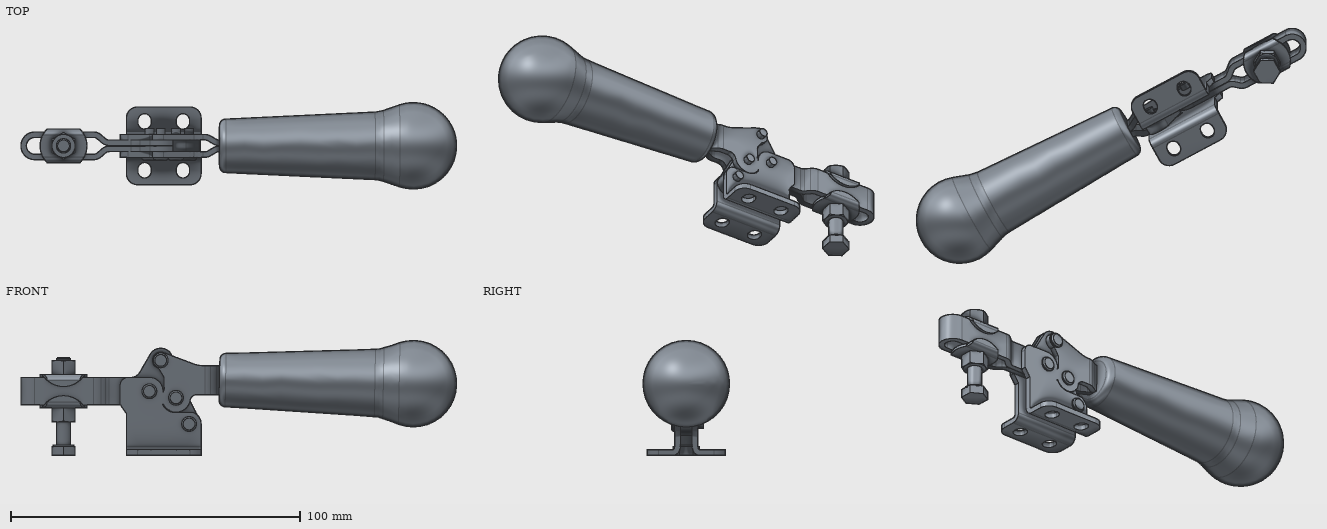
import cadquery as cq
import math

OVERALL_LENGTH = 150.7
OVERALL_HEIGHT = 39.8

SHEET = 2.0
INNER_BEND = SHEET
OUTER_BEND = INNER_BEND + SHEET
HALF_GAP = 0.08
CORE_Y = HALF_GAP + SHEET
SIDE_Y = CORE_Y + SHEET

ARM_PIVOT = (44.5, 22.1)
TOP_PIVOT = (48.4, 32.8)
LEVER_PIVOT = (53.6, 19.9)
REAR_PIVOT = (58.2, 10.8)

BASE_LEFT = 36.5
BASE_LENGTH = 25.9
BASE_RIGHT = BASE_LEFT + BASE_LENGTH
BASE_WIDTH = 27.0
BASE_CORNER = 3.9
FOOT_BEND = 0.9
FOOT_HOLE_X = (42.8, 56.0)
FOOT_HOLE_Y = 8.5
FOOT_HOLE_WIDTH = 4.5
FOOT_HOLE_LENGTH = 5.3
BRACKET_LEFT = 34.4
BRACKET_CORNER = 2.7
BRACKET_NECK_Z = 14.5
BRACKET_RIM = 4.7
REAR_RIM = BASE_RIGHT - REAR_PIVOT[0]

ARM_BOTTOM = 17.5
ARM_TOP = 27.0
ARM_HALF_WIDTH = 4.8
ARM_BEND_X = 25.2
ARM_BEND_ANGLE = 41
ARM_BOSS = 4.2
ARM_RISE_ANGLE = 60
ARM_RISE_FILLET = 3.6

NECK_BOTTOM = 21.0
NECK_TOP = 31.0
NECK_BEND_X = 63.6
NECK_BEND_ANGLE = 30
NECK_END_X = 75.3
LEVER_BOSS = 2.9
LEVER_END = 5.0
LEVER_LEFT = 49.5
LEVER_SHOULDER_Z = 27.0
LEVER_TOP_SLOPE = 20.5
BOSS_UNDERSIDE_ANGLE = -105
SHOULDER_FILLET = 2.3
NECK_FILLET = 2.4
NECK_TOP_FILLET = 9.0
LEVER_CLEARANCE = 0.2
LINK_RADIUS = 3.9

PIN_RADIUS = 1.5
PIN_HEAD_RADIUS = 2.5
PIN_HEAD_HEIGHT = 1.0
PIN_HEAD_CHAMFER = 0.53
PIN_TAIL_Y = 6.0

SPINDLE_X = 14.8
SPINDLE_RADIUS = 5.0 / 2
SPINDLE_TOP = 33.8
SPINDLE_CHAMFER = 0.5
HEX_ACROSS_FLATS = 8.0
SPINDLE_HEAD = 3.0
COLLAR_RADIUS = 3.6
COLLAR_TOP = 3.6
NUT_HEIGHT = 4.8
NUT_CHAMFER = 0.5
WASHER_SHEET = 1.0
WASHER_RADIUS = 8.1
WASHER_WING_DEPTH = 3.2
WASHER_WING_RADIUS = 8.6

BALL_RADIUS = 30.0 / 2
BALL_X = OVERALL_LENGTH - BALL_RADIUS
BALL_Z = OVERALL_HEIGHT - BALL_RADIUS
GRIP_TILT = 1.1
GRIP_LENGTH = 67.0
GRIP_END_RADIUS = 9.2
GRIP_END_ROUND = 2.3
GRIP_CONE_ANGLE = 2.7
BALL_CONE_ANGLE = 19
CONE_BLEND = 10.5


def polar(centre, radius, degrees):
    angle = math.radians(degrees)
    return (centre[0] + radius * math.cos(angle), centre[1] + radius * math.sin(angle))


def both_sides(half):
    return half.union(half.mirror("XZ"))


def plate(outline, y_inner, y_outer):
    """Plate in +Y from an XZ outline drawn on the 'XZ' plane."""
    return outline.extrude(-(y_outer - y_inner)).translate((0, y_inner, 0))


def disc(centre, radius):
    return cq.Workplane("XZ").center(*centre).circle(radius)


def strap(first, first_radius, second, second_radius):
    """XZ outline of two round ends joined by their common tangents."""
    dx = second[0] - first[0]
    dz = second[1] - first[1]
    heading = math.degrees(math.atan2(dz, dx))
    spread = math.degrees(math.acos((first_radius - second_radius) / math.hypot(dx, dz)))
    return (
        cq.Workplane("XZ")
        .moveTo(*polar(first, first_radius, heading + spread))
        .threePointArc(
            polar(first, first_radius, heading + 180),
            polar(first, first_radius, heading - spread),
        )
        .lineTo(*polar(second, second_radius, heading - spread))
        .threePointArc(
            polar(second, second_radius, heading),
            polar(second, second_radius, heading + spread),
        )
        .close()
    )


def jog_end_x(bend_x, drop, angle):
    """X where a leaf that jogs inward by `drop` runs straight again."""
    theta = math.radians(angle)
    radii = INNER_BEND + OUTER_BEND
    straight = (drop - radii * (1 - math.cos(theta))) / math.sin(theta)
    return bend_x + radii * math.sin(theta) + straight * math.cos(theta)


def jogged_leaf(start_x, bend_x, end_x, y_start, angle, bottom, top):
    """Leaf in +Y whose outer face steps from y_start inward to CORE_Y."""
    first = (bend_x, y_start - OUTER_BEND)
    flat_x = jog_end_x(bend_x, y_start - CORE_Y, angle)
    second = (flat_x, CORE_Y + INNER_BEND)
    return (
        cq.Workplane("XY")
        .moveTo(start_x, y_start)
        .lineTo(bend_x, y_start)
        .threePointArc(polar(first, OUTER_BEND, 90 - angle / 2), polar(first, OUTER_BEND, 90 - angle))
        .lineTo(*polar(second, INNER_BEND, 270 - angle))
        .threePointArc(polar(second, INNER_BEND, 270 - angle / 2), (flat_x, CORE_Y))
        .lineTo(end_x, CORE_Y)
        .lineTo(end_x, HALF_GAP)
        .lineTo(flat_x, HALF_GAP)
        .threePointArc(polar(second, OUTER_BEND, 270 - angle / 2), polar(second, OUTER_BEND, 270 - angle))
        .lineTo(*polar(first, INNER_BEND, 90 - angle))
        .threePointArc(polar(first, INNER_BEND, 90 - angle / 2), (bend_x, y_start - SHEET))
        .lineTo(start_x, y_start - SHEET)
        .close()
        .extrude(top - bottom)
        .translate((0, 0, bottom))
    )


def bracket_outline():
    slot_radius = LEVER_END + LEVER_CLEARANCE
    rim_right = ARM_PIVOT[0] + BRACKET_RIM
    slot_entry = -math.degrees(math.acos((rim_right - LEVER_PIVOT[0]) / slot_radius))
    slot_floor = LEVER_PIVOT[1] - slot_radius
    rim_entry = math.degrees(math.asin((slot_floor - REAR_PIVOT[1]) / REAR_RIM))
    return (
        cq.Workplane("XZ")
        .moveTo(BASE_LEFT, 0)
        .lineTo(BASE_LEFT, BRACKET_NECK_Z)
        .lineTo(BRACKET_LEFT, ARM_BOTTOM)
        .lineTo(BRACKET_LEFT, ARM_TOP - BRACKET_CORNER)
        .radiusArc((BRACKET_LEFT + BRACKET_CORNER, ARM_TOP), BRACKET_CORNER)
        .lineTo(ARM_PIVOT[0], ARM_TOP)
        .threePointArc(
            polar((ARM_PIVOT[0], ARM_TOP - BRACKET_RIM), BRACKET_RIM, 45),
            (rim_right, ARM_TOP - BRACKET_RIM),
        )
        .lineTo(*polar(LEVER_PIVOT, slot_radius, slot_entry))
        .threePointArc(
            polar(LEVER_PIVOT, slot_radius, (slot_entry - 90) / 2),
            (LEVER_PIVOT[0], slot_floor),
        )
        .lineTo(*polar(REAR_PIVOT, REAR_RIM, rim_entry))
        .threePointArc(polar(REAR_PIVOT, REAR_RIM, rim_entry / 2), (BASE_RIGHT, REAR_PIVOT[1]))
        .lineTo(BASE_RIGHT, 0)
        .close()
    )


def bracket_half():
    """One side plate with its foot, bent from a single sheet."""
    angle_section = (
        cq.Workplane("YZ")
        .moveTo(CORE_Y, ARM_TOP)
        .lineTo(SIDE_Y, ARM_TOP)
        .lineTo(SIDE_Y, SHEET + FOOT_BEND)
        .radiusArc((SIDE_Y + FOOT_BEND, SHEET), -FOOT_BEND)
        .lineTo(BASE_WIDTH / 2, SHEET)
        .lineTo(BASE_WIDTH / 2, 0)
        .lineTo(SIDE_Y + FOOT_BEND, 0)
        .radiusArc((CORE_Y, SHEET + FOOT_BEND), SHEET + FOOT_BEND)
        .close()
        .extrude(BASE_RIGHT)
    )
    half = angle_section.intersect(plate(bracket_outline(), 0, BASE_WIDTH / 2))
    half = half.edges("|Z and >Y").fillet(BASE_CORNER)
    holes = (
        cq.Workplane("XY")
        .pushPoints([(x, FOOT_HOLE_Y) for x in FOOT_HOLE_X])
        .slot2D(FOOT_HOLE_LENGTH, FOOT_HOLE_WIDTH, 90)
        .extrude(SHEET)
    )
    return half.cut(holes)


def arm():
    """Strip looped round the spindle, closing to two leaves that rise to the top pivot."""
    flat_x = jog_end_x(ARM_BEND_X, ARM_HALF_WIDTH - CORE_Y, ARM_BEND_ANGLE)
    nose = (
        cq.Workplane("XY")
        .center(ARM_HALF_WIDTH, 0)
        .circle(ARM_HALF_WIDTH)
        .circle(ARM_HALF_WIDTH - SHEET)
        .extrude(ARM_TOP - ARM_BOTTOM)
        .translate((0, 0, ARM_BOTTOM))
    )
    nose = nose.intersect(cq.Workplane("XY").box(2 * ARM_HALF_WIDTH, 2 * ARM_HALF_WIDTH, 2 * ARM_TOP))
    side = jogged_leaf(
        ARM_HALF_WIDTH, ARM_BEND_X, flat_x + SHEET, ARM_HALF_WIDTH, ARM_BEND_ANGLE, ARM_BOTTOM, ARM_TOP
    )
    boss_tangent = polar(TOP_PIVOT, ARM_BOSS, 90 + ARM_RISE_ANGLE)
    run = (boss_tangent[1] - ARM_TOP) / math.tan(math.radians(ARM_RISE_ANGLE))
    pivot_end = ARM_PIVOT[1] - ARM_BOTTOM
    web = (
        cq.Workplane("XZ")
        .moveTo(flat_x, ARM_BOTTOM)
        .lineTo(flat_x, ARM_TOP)
        .lineTo(boss_tangent[0] - run, ARM_TOP)
        .lineTo(*boss_tangent)
        .lineTo(*TOP_PIVOT)
        .lineTo(*ARM_PIVOT)
        .lineTo(ARM_PIVOT[0], ARM_BOTTOM)
        .close()
    )
    leaf = plate(web, HALF_GAP, CORE_Y)
    rise_foot = cq.selectors.NearestToPointSelector((boss_tangent[0] - run, CORE_Y / 2, ARM_TOP))
    leaf = leaf.edges(rise_foot).fillet(ARM_RISE_FILLET)
    leaf = leaf.union(plate(strap(ARM_PIVOT, pivot_end, TOP_PIVOT, ARM_BOSS), HALF_GAP, CORE_Y))
    return nose.union(both_sides(side.union(leaf)))


def lever_half():
    slope_start = polar(TOP_PIVOT, LEVER_BOSS, 90 - LEVER_TOP_SLOPE)
    slope_run = (slope_start[1] - NECK_TOP) / math.tan(math.radians(LEVER_TOP_SLOPE))
    edge_angle = math.degrees(math.acos((LEVER_LEFT - LEVER_PIVOT[0]) / LEVER_END))
    corner_angle = math.degrees(math.asin((NECK_BOTTOM - LEVER_PIVOT[1]) / LEVER_END))
    neck_corner = polar(LEVER_PIVOT, LEVER_END, corner_angle)
    outline = (
        cq.Workplane("XZ")
        .moveTo(NECK_BEND_X, NECK_TOP)
        .lineTo(slope_start[0] + slope_run, NECK_TOP)
        .lineTo(*slope_start)
        .threePointArc(
            polar(TOP_PIVOT, LEVER_BOSS, 180),
            polar(TOP_PIVOT, LEVER_BOSS, BOSS_UNDERSIDE_ANGLE),
        )
        .lineTo(LEVER_LEFT, LEVER_SHOULDER_Z)
        .lineTo(*polar(LEVER_PIVOT, LEVER_END, edge_angle))
        .threePointArc(polar(LEVER_PIVOT, LEVER_END, -90), neck_corner)
        .lineTo(NECK_BEND_X, NECK_BOTTOM)
        .close()
    )
    side = plate(outline, CORE_Y, SIDE_Y)
    mid_y = (CORE_Y + SIDE_Y) / 2
    rounded_corners = (
        ((LEVER_LEFT, LEVER_SHOULDER_Z), SHOULDER_FILLET),
        (neck_corner, NECK_FILLET),
        ((slope_start[0] + slope_run, NECK_TOP), NECK_TOP_FILLET),
    )
    for (x, z), radius in rounded_corners:
        side = side.edges(cq.selectors.NearestToPointSelector((x, mid_y, z))).fillet(radius)
    neck = jogged_leaf(
        NECK_BEND_X - SHEET, NECK_BEND_X, NECK_END_X, SIDE_Y, NECK_BEND_ANGLE, NECK_BOTTOM, NECK_TOP
    )
    return side.union(neck)


def link():
    return plate(strap(LEVER_PIVOT, LINK_RADIUS, REAR_PIVOT, LINK_RADIUS), -CORE_Y, CORE_Y)


def pin(centre):
    shank = plate(disc(centre, PIN_RADIUS), -SIDE_Y, PIN_TAIL_Y)
    head = plate(disc(centre, PIN_HEAD_RADIUS), -SIDE_Y - PIN_HEAD_HEIGHT, -SIDE_Y)
    return shank.union(head.faces("<Y").chamfer(PIN_HEAD_CHAMFER))


def hexagon(bottom, height):
    """Hexagonal prism on the spindle axis with corners pointing to +Y and -Y."""
    across_corners = HEX_ACROSS_FLATS / math.cos(math.radians(30))
    prism = cq.Workplane("XY").polygon(6, across_corners).extrude(height)
    return prism.rotate((0, 0, 0), (0, 0, 1), 30).translate((SPINDLE_X, 0, bottom))


def upright(bottom, top, radius):
    return cq.Workplane("XY", origin=(SPINDLE_X, 0, bottom)).circle(radius).extrude(top - bottom)


def nut(bottom, free_end):
    """Nut whose corners are rounded off at the free end, ">Z" or "<Z"."""
    blank_radius = HEX_ACROSS_FLATS / 2 + 2 * NUT_CHAMFER
    rounded = upright(bottom, bottom + NUT_HEIGHT, blank_radius)
    rounded = rounded.faces(free_end).chamfer(NUT_CHAMFER, 2 * NUT_CHAMFER)
    return hexagon(bottom, NUT_HEIGHT).intersect(rounded)


def flanged_washer():
    """Round sheet on top of the arm whose two sides wrap down over the arm."""
    top = ARM_TOP + WASHER_SHEET
    outer_y = ARM_HALF_WIDTH + WASHER_SHEET
    wing_bottom = ARM_TOP - WASHER_WING_DEPTH
    height = top - wing_bottom
    wrap = (
        cq.Workplane("XY", origin=(SPINDLE_X, 0, wing_bottom))
        .box(2 * WASHER_RADIUS, 2 * outer_y, height, centered=(True, True, False))
        .edges("|X and >Z")
        .fillet(2 * WASHER_SHEET)
    )
    arm_space = cq.Workplane("XY", origin=(SPINDLE_X, 0, wing_bottom)).box(
        2 * WASHER_RADIUS, 2 * ARM_HALF_WIDTH, WASHER_WING_DEPTH, centered=(True, True, False)
    )
    wrap = wrap.cut(arm_space)
    wing_round = plate(
        disc((SPINDLE_X, wing_bottom + WASHER_WING_RADIUS), WASHER_WING_RADIUS), -outer_y, outer_y
    )
    flat_zone = cq.Workplane("XY", origin=(SPINDLE_X, 0, top)).box(
        2 * WASHER_RADIUS, 2 * (outer_y - 2 * WASHER_SHEET), 2 * WASHER_SHEET
    )
    return wrap.intersect(wing_round.union(flat_zone)).intersect(upright(0, SPINDLE_TOP, WASHER_RADIUS))


def spindle():
    arm_middle = (ARM_TOP + ARM_BOTTOM) / 2
    upper_washer = flanged_washer()
    lower_washer = upper_washer.mirror("XY", (0, 0, arm_middle))
    shank = upright(0, SPINDLE_TOP, SPINDLE_RADIUS).faces(">Z").chamfer(SPINDLE_CHAMFER)
    return (
        shank.union(hexagon(0, SPINDLE_HEAD))
        .union(upright(0, COLLAR_TOP, COLLAR_RADIUS))
        .union(upper_washer)
        .union(lower_washer)
        .union(nut(ARM_TOP + WASHER_SHEET, ">Z"))
        .union(nut(ARM_BOTTOM - WASHER_SHEET - NUT_HEIGHT, "<Z"))
    )


def grip():
    """Tapered round handle with a ball end, turned about its tilted axis."""
    tangent = polar((0, 0), BALL_RADIUS, 90 + BALL_CONE_ANGLE)
    taper = math.tan(math.radians(GRIP_CONE_ANGLE))
    flare = math.tan(math.radians(BALL_CONE_ANGLE))
    cross_x = (GRIP_END_RADIUS + taper * GRIP_LENGTH - tangent[1] + flare * tangent[0]) / (flare - taper)
    cross_radius = tangent[1] + flare * (cross_x - tangent[0])
    body = (
        cq.Workplane("XY")
        .moveTo(-GRIP_LENGTH, 0)
        .lineTo(-GRIP_LENGTH, GRIP_END_RADIUS)
        .lineTo(cross_x, cross_radius)
        .lineTo(*tangent)
        .threePointArc(polar((0, 0), BALL_RADIUS, 45), (BALL_RADIUS, 0))
        .close()
        .revolve(360, (0, 0, 0), (1, 0, 0))
    )
    body = body.edges("<X").fillet(GRIP_END_ROUND)
    blend_edge = cq.selectors.NearestToPointSelector((cross_x, 0, 0))
    body = body.edges("%CIRCLE").edges(blend_edge).fillet(CONE_BLEND)
    return body.rotate((0, 0, 0), (0, 1, 0), GRIP_TILT).translate((BALL_X, 0, BALL_Z))


result = arm().union(both_sides(bracket_half())).union(both_sides(lever_half())).union(link())
for pivot in (ARM_PIVOT, TOP_PIVOT, LEVER_PIVOT, REAR_PIVOT):
    result = result.union(pin(pivot))
result = result.union(spindle()).union(grip())